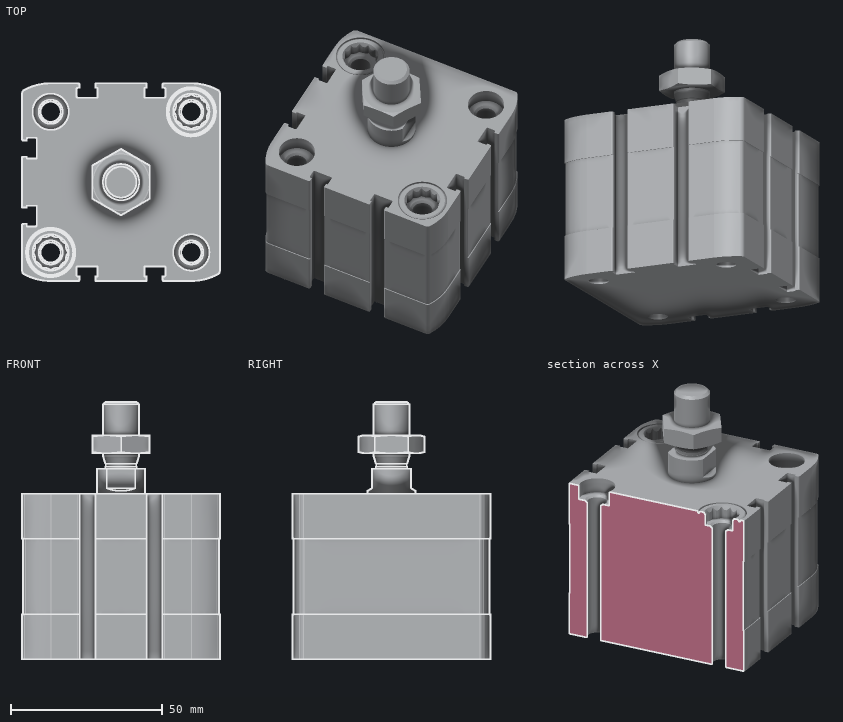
import cadquery as cq
import math

WIDTH = 65.5
HALF = WIDTH / 2
HOUSING_HEIGHT = 54.9
CAP_HEIGHT = 14.9
BARREL_INSET = 0.3
CORNER_ARC_RADIUS = 18.4
CORNER_ARC_START = 23.2
CORNER_EDGE_RADIUS = 1.5

NECK_INNER = 8.4
NECK_OUTER = 13.7
POCKET_INNER = 7.8
POCKET_OUTER = 14.65
LIP_DEPTH = 1.6
SLOT_DEPTH = 4.85
OUTER_LIP_RADIUS = 0.5
INNER_LIP_RADIUS = 0.25
POCKET_CORNER_RADIUS = 0.3
SLOT_OVERRUN = 0.85

HOLE_OFFSET = 23.3
HOLE_DIA = 6.65
COUNTERSINK_DIA = 8.0
COUNTERBORE_DIA = 12.0
COUNTERBORE_DEPTH = 5.0

HEAD_RECESS_DIA = 16.4
HEAD_DIA = 15.5
HEAD_FACE_DIA = 14.8
HEAD_GROOVE_DEPTH = 0.7
SOCKET_FLATS = 10.05
SOCKET_BORE_DIA = 10.65
SOCKET_DEPTH = 4.5
SOCKET_LEAD_DEPTH = 1.45
HEXAGON_CORNER_RATIO = 2 / math.sqrt(3)

TOTAL_HEIGHT = 85.2
ROD_DIA = 16.0
ROD_SHOULDER_Z = 63.1
ROD_FLATS = 12.95
FLAT_BOTTOM_Z = 56.7
FLAT_RUNOUT_Z = 55.7
NECK_DIA = 10.2
NECK_RIM_DIA = 10.6
NECK_FOOT_Z = 63.65
NECK_TOP_Z = 64.7
CONE_START_Z = 64.9
THREAD_DIA = 12.0
THREAD_START_Z = 67.3
THREAD_TIP_DIA = 10.2

NUT_FLATS = 19.0
NUT_BOTTOM_Z = 68.2
NUT_HEIGHT = 6.0
NUT_FACE_DIA = 18.75
NUT_CHAMFER_ANGLE = 15.0


def block_section(inset, bottom, height):
    """Block with bowed corners, every side moved in by the inset."""
    half = HALF - inset
    radius = CORNER_ARC_RADIUS - inset
    center_y = half - radius

    def arc_point(x):
        return (x, center_y + math.sqrt(radius**2 - (x - CORNER_ARC_START) ** 2))

    middle = arc_point((CORNER_ARC_START + half) / 2)
    end = arc_point(half)
    quarter = (
        cq.Workplane("XY", origin=(0, 0, bottom))
        .moveTo(0, 0)
        .lineTo(0, half)
        .lineTo(CORNER_ARC_START, half)
        .threePointArc(middle, end)
        .lineTo(half, 0)
        .close()
        .extrude(height)
    )
    half_block = quarter.union(quarter.mirror("YZ"))
    block = half_block.union(half_block.mirror("XZ")).clean()
    for x in (-1, 1):
        for y in (-1, 1):
            corner = cq.selectors.NearestToPointSelector((x * end[0], y * end[1], bottom + height / 2))
            block = block.edges(corner).fillet(CORNER_EDGE_RADIUS)
    return block


def slot_cutter(inset, bottom, height):
    """Undercut slot on the -Y side at positive X; its lips are rounded at the given inset."""
    face = HALF - inset
    lip = HALF - LIP_DEPTH
    floor = HALF - SLOT_DEPTH
    outside = HALF + SLOT_OVERRUN
    sin45 = math.sqrt(0.5)

    def lip_rounding(neck, radius, side):
        """Arc points from the neck wall, halfway, and on the outer face."""
        center_x = neck + side * radius
        center_y = face - radius
        return (
            (neck, -center_y),
            (center_x - side * radius * sin45, -(center_y + radius * sin45)),
            (center_x, -face),
        )

    inner = lip_rounding(NECK_INNER, INNER_LIP_RADIUS, -1)
    outer = lip_rounding(NECK_OUTER, OUTER_LIP_RADIUS, 1)
    cutter = (
        cq.Workplane("XY", origin=(0, 0, bottom))
        .moveTo(inner[2][0], -outside)
        .lineTo(*inner[2])
        .threePointArc(inner[1], inner[0])
        .lineTo(NECK_INNER, -lip)
        .lineTo(POCKET_INNER, -lip)
        .lineTo(POCKET_INNER, -floor)
        .lineTo(POCKET_OUTER, -floor)
        .lineTo(POCKET_OUTER, -lip)
        .lineTo(NECK_OUTER, -lip)
        .lineTo(*outer[0])
        .threePointArc(outer[1], outer[2])
        .lineTo(outer[2][0], -outside)
        .close()
        .extrude(height)
    )
    return cutter.faces(">X").edges("|Z").fillet(POCKET_CORNER_RADIUS)


def housing_layer(inset, bottom, height):
    """One slice of the housing with slots on the -Y, -X and +Y sides."""
    layer = block_section(inset, bottom, height)
    slot = slot_cutter(inset, bottom, height)
    slot_pair = slot.union(slot.mirror("YZ"))
    for angle in (0, -90, 180):
        layer = layer.cut(slot_pair.rotate((0, 0, 0), (0, 0, 1), angle))
    return layer


def cone(bottom_dia, top_dia, bottom, top):
    return cq.Workplane(
        cq.Solid.makeCone(bottom_dia / 2, top_dia / 2, top - bottom, cq.Vector(0, 0, bottom))
    )


def cylinder(diameter, bottom, top):
    return cq.Workplane("XY", origin=(0, 0, bottom)).circle(diameter / 2).extrude(top - bottom)


def hole_below(floor):
    """Through hole with a 45 degree countersink at the floor of its recess."""
    sink_depth = (COUNTERSINK_DIA - HOLE_DIA) / 2
    return cylinder(HOLE_DIA, 0, floor).union(cone(HOLE_DIA, COUNTERSINK_DIA, floor - sink_depth, floor))


def counterbored_hole():
    floor = HOUSING_HEIGHT - COUNTERBORE_DEPTH
    return hole_below(floor).union(cylinder(COUNTERBORE_DIA, floor, HOUSING_HEIGHT))


def socket_hole():
    """Twelve-point socket with a lead-in cone, inside a shallow chamfered ring groove."""
    top = HOUSING_HEIGHT
    floor = top - SOCKET_DEPTH
    groove_floor = top - HEAD_GROOVE_DEPTH

    cutter = hole_below(floor).union(cylinder(SOCKET_BORE_DIA, floor, top))
    for angle in (0, 30):
        hexagon = (
            cq.Workplane("XY", origin=(0, 0, floor))
            .polygon(6, SOCKET_FLATS * HEXAGON_CORNER_RATIO)
            .extrude(SOCKET_DEPTH)
            .rotate((0, 0, 0), (0, 0, 1), angle)
        )
        cutter = cutter.union(hexagon)
    cutter = cutter.union(cone(SOCKET_BORE_DIA, COUNTERBORE_DIA, top - SOCKET_LEAD_DEPTH, top))

    head = cylinder(HEAD_DIA, groove_floor, top).faces(">Z").chamfer((HEAD_DIA - HEAD_FACE_DIA) / 2)
    groove = cylinder(HEAD_RECESS_DIA, groove_floor, top).cut(head)
    return cutter.union(groove)


def make_housing():
    upper_cap_bottom = HOUSING_HEIGHT - CAP_HEIGHT
    body = housing_layer(0, 0, CAP_HEIGHT)
    body = body.union(housing_layer(BARREL_INSET, CAP_HEIGHT, upper_cap_bottom - CAP_HEIGHT))
    body = body.union(housing_layer(0, upper_cap_bottom, CAP_HEIGHT))
    for side in (-1, 1):
        place = side * HOLE_OFFSET
        body = body.cut(socket_hole().translate((place, place, 0)))
        body = body.cut(counterbored_hole().translate((place, -place, 0)))
    return body


def make_rod():
    """Stepped piston rod standing on the housing, with two wrench flats."""
    tip_chamfer = (THREAD_DIA - THREAD_TIP_DIA) / 2
    rod = (
        cq.Workplane("XZ")
        .moveTo(0, HOUSING_HEIGHT)
        .lineTo(ROD_DIA / 2, HOUSING_HEIGHT)
        .lineTo(ROD_DIA / 2, ROD_SHOULDER_Z)
        .lineTo(NECK_RIM_DIA / 2, ROD_SHOULDER_Z)
        .lineTo(NECK_RIM_DIA / 2, NECK_FOOT_Z)
        .lineTo(NECK_DIA / 2, NECK_FOOT_Z)
        .lineTo(NECK_DIA / 2, NECK_TOP_Z)
        .lineTo(NECK_RIM_DIA / 2, CONE_START_Z)
        .lineTo(THREAD_DIA / 2, THREAD_START_Z)
        .lineTo(THREAD_DIA / 2, TOTAL_HEIGHT - tip_chamfer)
        .lineTo(THREAD_TIP_DIA / 2, TOTAL_HEIGHT)
        .lineTo(0, TOTAL_HEIGHT)
        .close()
        .revolve(360, (0, 0, 0), (0, 1, 0))
    )
    flat = (
        cq.Workplane("YZ")
        .moveTo(ROD_FLATS / 2, ROD_SHOULDER_Z)
        .lineTo(ROD_FLATS / 2, FLAT_BOTTOM_Z)
        .lineTo(ROD_DIA / 2, FLAT_RUNOUT_Z)
        .lineTo(ROD_DIA / 2, ROD_SHOULDER_Z)
        .close()
        .extrude(ROD_DIA / 2, both=True)
    )
    return rod.cut(flat).cut(flat.mirror("XZ"))


def make_nut():
    """Hexagon nut with conical chamfers on the corners of both faces."""
    corner_dia = NUT_FLATS * HEXAGON_CORNER_RATIO
    chamfer_height = (corner_dia - NUT_FACE_DIA) / 2 * math.tan(math.radians(NUT_CHAMFER_ANGLE))
    top = NUT_BOTTOM_Z + NUT_HEIGHT
    prism = (
        cq.Workplane("XY", origin=(0, 0, NUT_BOTTOM_Z))
        .polygon(6, corner_dia)
        .extrude(NUT_HEIGHT)
        .rotate((0, 0, 0), (0, 0, 1), 30)
    )
    envelope = (
        cq.Workplane("XZ")
        .moveTo(0, NUT_BOTTOM_Z)
        .lineTo(NUT_FACE_DIA / 2, NUT_BOTTOM_Z)
        .lineTo(corner_dia / 2, NUT_BOTTOM_Z + chamfer_height)
        .lineTo(corner_dia / 2, top - chamfer_height)
        .lineTo(NUT_FACE_DIA / 2, top)
        .lineTo(0, top)
        .close()
        .revolve(360, (0, 0, 0), (0, 1, 0))
    )
    return prism.intersect(envelope).cut(cylinder(THREAD_DIA, NUT_BOTTOM_Z, top))


housing = make_housing()
rod = make_rod()
nut = make_nut()
result = cq.Compound.makeCompound([housing.val(), rod.val(), nut.val()])